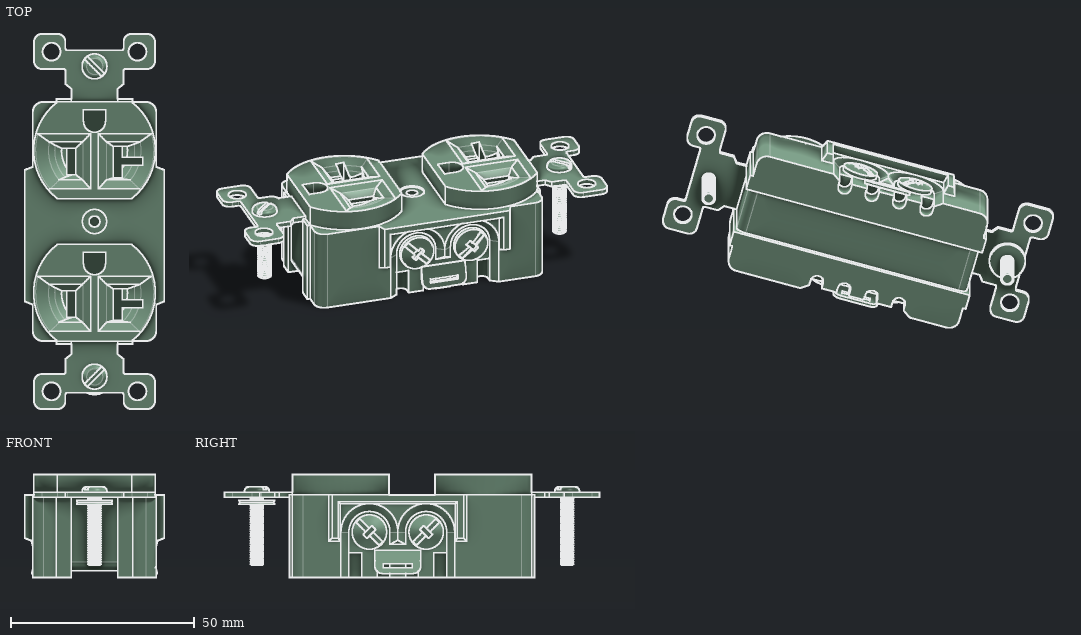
import cadquery as cq
import math

FACE_TOP = 28.07
BODY_TOP = 22.54
BODY_HALF_X = 16.85
BODY_HALF_Y = 32.6
BODY_CORNER_R = 2.85
END_PAD_HALF_X = 10.35
END_PAD_HALF_Y = 33.4
BACK_CHANNEL_DEPTH = 1.8
STRAP_BEND_R = 2.5

STRAP_TOP = 23.28
STRAP_BOTTOM = 21.86
STRAP_HALF_Y = 102.23 / 2
NECK_HALF_X = 6.28
NECK_END_Y = 36.1
SHOULDER_HALF_X = 7.9
SHOULDER_START_Y = 37.4
EAR_HALF_X = 16.5
EAR_INNER_Y = 41.5
EAR_NOTCH_Y = 46.67
EAR_CORNER_R = 2.2
EAR_ROOT_R = 0.5
EAR_HOLE_X = 11.7
EAR_HOLE_Y = 46.25
EAR_HOLE_D = 4.8

SCREW_Y = 42.25
SCREW_END = 3.35
THREAD_R = 1.8
THREAD_ROOT_R = 1.4
THREAD_PITCH = 0.635
SCREW_HEAD_R = 3.4
SCREW_HEAD_FLAT_R = 2.2
SCREW_HEAD_H = 1.5
DIAGONAL = 45
SCREW_SLOT_W = 1.1
SCREW_SLOT_DEPTH = 0.9
WASHER_R = 4.9
WASHER_GROOVE = 0.3
WASHER_TOP = 21.06
WASHER_BOTTOM = 19.95

FACE_Y = 19.4
FACE_R = 16.6
FACE_HALF_Y = 13.15
GROUND_HALF_X = 3.0
GROUND_TOP_Y = 11.05
GROUND_ARC_Y = 7.9
GROUND_DEPTH = 10.0
FUNNEL_LIP_DEPTH = 0.9
FUNNEL_DEPTH = 2.4
FUNNEL_RADII = (16.1, 12.6, 10.9, 9.0)
FUNNEL_RIM = (1.08, -10.5, 4.5)
FUNNEL_LIP = (3.25, -8.06, 2.3)
PLAIN_BLADE = (5.1, -6.65, 0.55)
T_BLADE = (5.1, -7.55, 1.05)
BLADE_OUTER_X = 7.5
BLADE_DEPTH = 9.0
CROSS_OUTER_X = 13.1
CROSS_Y = (-4.1, -1.9)
RIVET_R = 3.3
RIVET_RECESS = 0.4
RIVET_HOLE_R = 1.5
RIVET_HOLE_DEPTH = 4.0

SIDE_Y = -3.87
WING_X = 38.1 / 2
WING_BASE = (18.8, 9.85)
WING_TIP = (17.9, 10.75)
WINDOW_BASE = (15.64, 20.1)
WINDOW_TIP = (16.25, 20.7)
TERMINAL_PITCH = 15.46
BAY_DEPTH = 1.5
BAY_MOUTH_R = 7.75
BAY_FLOOR_R = 5.6
BAY_ARC_Z = 12.4
BAY_FLOOR_X = BODY_HALF_X - BAY_DEPTH
RIDGE_BOTTOM = 9.0
RIDGE_UNDERCUT = 1.2
TERMINAL_HEAD_R = 4.7
TERMINAL_RIM = 1.2
TERMINAL_DOME = 0.9
TERMINAL_SLOT_W = 1.4
TERMINAL_CROSS_L = 3.4
TERMINAL_CROSS_W = 1.5
TERMINAL_SLOT_DEPTH = 0.8
TERMINAL_CROSS_DEPTH = 1.2
WIRE_SLOT_W = 3.5
WIRE_SLOT_OFFSET = 3.85
WIRE_SLOT_TOP = 6.8
WIRE_SLOT_DEPTH = 3.2
TAB_HALF_Y = 6.25
TAB_TOP = 7.4
TAB_BOTTOM = 1.1
TAB_CORNER_R = 2.0
TAB_THICK = 0.9
TAB_BOTTOM_X = 17.1
TAB_TOP_X = BAY_FLOOR_X + 0.2
TAB_SLOT_HALF_Y = 3.95
TAB_SLOT_Z = (2.7, 3.7)


def block(x0, x1, y0, y1, z0, z1):
    """Box between two opposite corners."""
    return cq.Workplane("XY").box(x1 - x0, y1 - y0, z1 - z0, centered=False).translate((x0, y0, z0))


def loft(lower, upper):
    """Ruled solid between two wires."""
    return cq.Workplane(obj=cq.Solid.makeLoft([lower, upper], True))


def polygon(points):
    return cq.Wire.makePolygon([cq.Vector(*p) for p in points], close=True)


def both_ends(shape):
    """The shape and its mirror image at the other end of the device."""
    return shape.union(shape.mirror("XZ"))


def make_body():
    body = block(-BODY_HALF_X, BODY_HALF_X, -BODY_HALF_Y, BODY_HALF_Y, 0, BODY_TOP)
    body = body.edges("|Z").fillet(BODY_CORNER_R)
    body = body.union(block(-END_PAD_HALF_X, END_PAD_HALF_X, -END_PAD_HALF_Y, END_PAD_HALF_Y, 0, BODY_TOP))
    body = body.cut(block(-NECK_HALF_X, NECK_HALF_X, -END_PAD_HALF_Y, END_PAD_HALF_Y, 0, BODY_TOP))
    strap = block(-NECK_HALF_X, NECK_HALF_X, -BODY_HALF_Y, BODY_HALF_Y, BACK_CHANNEL_DEPTH, BODY_TOP)
    strap = strap.edges("|X and <Z").fillet(STRAP_BEND_R)
    return body.union(strap)


def make_strap_end():
    """Neck, shoulders and two ears at the +Y end."""
    height = STRAP_TOP - STRAP_BOTTOM
    half = [
        (NECK_HALF_X, FACE_Y),
        (NECK_HALF_X, NECK_END_Y),
        (SHOULDER_HALF_X, SHOULDER_START_Y),
        (SHOULDER_HALF_X, EAR_INNER_Y),
        (EAR_HALF_X, EAR_INNER_Y),
        (EAR_HALF_X, STRAP_HALF_Y),
        (SHOULDER_HALF_X, STRAP_HALF_Y),
        (SHOULDER_HALF_X, EAR_NOTCH_Y),
    ]
    outline = half + [(-x, y) for x, y in reversed(half)]
    strap = cq.Workplane("XY").workplane(offset=STRAP_BOTTOM).polyline(outline).close().extrude(height)
    middle_z = STRAP_BOTTOM + height / 2
    for side in (-1, 1):
        outer_corners = [
            (EAR_HALF_X, EAR_INNER_Y),
            (EAR_HALF_X, STRAP_HALF_Y),
            (SHOULDER_HALF_X, STRAP_HALF_Y),
        ]
        root_corners = [(SHOULDER_HALF_X, EAR_INNER_Y), (SHOULDER_HALF_X, EAR_NOTCH_Y)]
        for corners, radius in ((outer_corners, EAR_CORNER_R), (root_corners, EAR_ROOT_R)):
            for x, y in corners:
                corner = cq.selectors.NearestToPointSelector((side * x, y, middle_z))
                strap = strap.edges("|Z").edges(corner).fillet(radius)
    holes = cq.Workplane("XY").pushPoints([(-EAR_HOLE_X, EAR_HOLE_Y), (EAR_HOLE_X, EAR_HOLE_Y)])
    return strap.cut(holes.circle(EAR_HOLE_D / 2).extrude(STRAP_TOP))


def make_screw(y, slot_angle):
    """Slotted mounting screw with ring threads and a rounded head."""
    head_top = STRAP_TOP + SCREW_HEAD_H
    profile = cq.Workplane("XZ").moveTo(0, SCREW_END).lineTo(THREAD_ROOT_R, SCREW_END)
    turns = int((STRAP_BOTTOM - SCREW_END) / THREAD_PITCH)
    for turn in range(turns):
        z = SCREW_END + turn * THREAD_PITCH
        profile = profile.lineTo(THREAD_R, z + THREAD_PITCH / 2).lineTo(THREAD_ROOT_R, z + THREAD_PITCH)
    bulge_r = SCREW_HEAD_FLAT_R + (SCREW_HEAD_R - SCREW_HEAD_FLAT_R) * math.cos(math.pi / 4)
    bulge_z = STRAP_TOP + SCREW_HEAD_H * math.sin(math.pi / 4)
    screw = (
        profile.lineTo(THREAD_ROOT_R, STRAP_TOP)
        .lineTo(SCREW_HEAD_R, STRAP_TOP)
        .threePointArc((bulge_r, bulge_z), (SCREW_HEAD_FLAT_R, head_top))
        .lineTo(0, head_top)
        .close()
        .revolve(360, (0, 0, 0), (0, 1, 0))
    )
    half_w = SCREW_SLOT_W / 2
    slot = block(-SCREW_HEAD_R, SCREW_HEAD_R, -half_w, half_w, head_top - SCREW_SLOT_DEPTH, head_top)
    return screw.cut(slot.rotate((0, 0, 0), (0, 0, 1), slot_angle)).translate((0, y, 0))


def make_washer():
    """Retaining washer with a shallow V groove around its rim."""
    middle = (WASHER_TOP + WASHER_BOTTOM) / 2
    outline = [
        (0, WASHER_BOTTOM),
        (WASHER_R, WASHER_BOTTOM),
        (WASHER_R - WASHER_GROOVE, middle),
        (WASHER_R, WASHER_TOP),
        (0, WASHER_TOP),
    ]
    washer = cq.Workplane("XZ").polyline(outline).close().revolve(360, (0, 0, 0), (0, 1, 0))
    return washer.translate((0, -SCREW_Y, 0))


def make_face():
    face = cq.Workplane("XY").workplane(offset=BODY_TOP).circle(FACE_R).extrude(FACE_TOP - BODY_TOP)
    return face.intersect(block(-FACE_R, FACE_R, -FACE_HALF_Y, FACE_HALF_Y, BODY_TOP, FACE_TOP))


def make_ground_hole():
    outline = (
        cq.Workplane("XY")
        .workplane(offset=FACE_TOP - GROUND_DEPTH)
        .moveTo(-GROUND_HALF_X, GROUND_TOP_Y)
        .lineTo(-GROUND_HALF_X, GROUND_ARC_Y)
        .threePointArc((0, GROUND_ARC_Y - GROUND_HALF_X), (GROUND_HALF_X, GROUND_ARC_Y))
        .lineTo(GROUND_HALF_X, GROUND_TOP_Y)
        .close()
    )
    return outline.extrude(GROUND_DEPTH)


def make_funnel(blade):
    """Two-stage tapered lead-in to a blade slot on the +X side, closed outward by a round conical wall."""
    levels = (FACE_TOP, FACE_TOP - FUNNEL_LIP_DEPTH, FACE_TOP - FUNNEL_DEPTH)

    def rectangle(section, z):
        x, y0, y1 = section
        return polygon([(x, y0, z), (FACE_R, y0, z), (FACE_R, y1, z), (x, y1, z)])

    rim, lip, floor = [rectangle(s, z) for s, z in zip((FUNNEL_RIM, FUNNEL_LIP, blade), levels)]
    pyramid = loft(lip, rim).union(loft(floor, lip))
    step_z = (levels[1] + levels[2]) / 2
    cone_levels = (levels[0], levels[1], step_z, levels[2])
    profile = [(0, FACE_TOP)] + list(zip(FUNNEL_RADII, cone_levels)) + [(0, levels[2])]
    cone = cq.Workplane("XZ").polyline(profile).close().revolve(360, (0, 0, 0), (0, 1, 0))
    return pyramid.intersect(cone)


def make_blade_socket(blade):
    """Lead-in funnel with its straight blade slot."""
    inner_x, y0, y1 = blade
    slot = block(inner_x, BLADE_OUTER_X, y0, y1, FACE_TOP - BLADE_DEPTH, FACE_TOP - FUNNEL_LIP_DEPTH)
    return make_funnel(blade).union(slot)


def make_face_cuts():
    """Plain socket on the -X side, T-shaped socket on the +X side and the ground hole."""
    cross = block(T_BLADE[0], CROSS_OUTER_X, *CROSS_Y, FACE_TOP - BLADE_DEPTH, FACE_TOP)
    t_socket = make_blade_socket(T_BLADE).union(cross)
    plain_socket = make_blade_socket(PLAIN_BLADE).mirror("YZ")
    return t_socket.union(plain_socket).union(make_ground_hole())


def make_rivet_recess():
    """Shallow round recess with a blind hole at the centre of the device."""
    top = cq.Workplane("XY").workplane(offset=BODY_TOP)
    recess = top.circle(RIVET_R).extrude(-RIVET_RECESS)
    return recess.union(top.circle(RIVET_HOLE_R).extrude(-RIVET_HOLE_DEPTH))


def make_wing():
    """Flared guard around the terminals, open at the bottom."""

    def section(x, half_length, z0, z1):
        return polygon([
            (-x, SIDE_Y - half_length, z0),
            (-x, SIDE_Y + half_length, z0),
            (-x, SIDE_Y + half_length, z1),
            (-x, SIDE_Y - half_length, z1),
        ])

    wing = loft(section(BODY_HALF_X, *WING_BASE, BODY_TOP), section(WING_X, *WING_TIP, BODY_TOP))
    base_half, base_top = WINDOW_BASE
    tip_half, tip_top = WINDOW_TIP
    window = loft(section(BODY_HALF_X, base_half, 0, base_top), section(WING_X, tip_half, 0, tip_top))
    return wing.cut(window)


def make_arch(x, y, radius):
    """Upright arch outline in a plane of constant X, standing on the bottom of the body."""
    left, right = y - radius, y + radius
    return cq.Wire.assembleEdges([
        cq.Edge.makeLine(cq.Vector(x, left, 0), cq.Vector(x, left, BAY_ARC_Z)),
        cq.Edge.makeThreePointArc(
            cq.Vector(x, left, BAY_ARC_Z), cq.Vector(x, y, BAY_ARC_Z + radius), cq.Vector(x, right, BAY_ARC_Z)
        ),
        cq.Edge.makeLine(cq.Vector(x, right, BAY_ARC_Z), cq.Vector(x, right, 0)),
        cq.Edge.makeLine(cq.Vector(x, right, 0), cq.Vector(x, left, 0)),
    ])


def make_bay():
    """Two tapered arches with the ridge between them undercut, plus the wire slots."""
    half_pitch = TERMINAL_PITCH / 2
    bay = (
        cq.Workplane("XZ")
        .polyline([
            (-BODY_HALF_X, 0),
            (-BODY_HALF_X, RIDGE_BOTTOM + RIDGE_UNDERCUT),
            (-BAY_FLOOR_X, RIDGE_BOTTOM),
            (-BAY_FLOOR_X, 0),
        ])
        .close()
        .extrude(half_pitch, both=True)
        .translate((0, SIDE_Y, 0))
    )
    for side in (-1, 1):
        y = SIDE_Y + side * half_pitch
        mouth = make_arch(-BODY_HALF_X, y, BAY_MOUTH_R)
        floor = make_arch(-BAY_FLOOR_X, y, BAY_FLOOR_R)
        bay = bay.union(loft(floor, mouth))
        for offset in (-WIRE_SLOT_OFFSET, WIRE_SLOT_OFFSET):
            bay = bay.union(make_wire_slot(y + offset))
    return bay


def make_wire_slot(y):
    """Vertical slot with a round inner end."""
    radius = WIRE_SLOT_W / 2
    centre_x = -BAY_FLOOR_X + WIRE_SLOT_DEPTH - radius
    slot = block(-BAY_FLOOR_X, centre_x, y - radius, y + radius, 0, WIRE_SLOT_TOP)
    return slot.union(cq.Workplane("XY").center(centre_x, y).circle(radius).extrude(WIRE_SLOT_TOP))


def make_terminal_screw(side):
    """Domed terminal head with a diagonal slot and a short, deeper cross slot."""
    rim_z = TERMINAL_RIM
    top_z = TERMINAL_RIM + TERMINAL_DOME
    dome_r = (TERMINAL_HEAD_R ** 2 + TERMINAL_DOME ** 2) / (2 * TERMINAL_DOME)
    half_r = TERMINAL_HEAD_R / 2
    half_z = top_z - dome_r + math.sqrt(dome_r ** 2 - half_r ** 2)
    head = (
        cq.Workplane("XZ")
        .lineTo(TERMINAL_HEAD_R, 0)
        .lineTo(TERMINAL_HEAD_R, rim_z)
        .threePointArc((half_r, half_z), (0, top_z))
        .close()
        .revolve(360, (0, 0, 0), (0, 1, 0))
    )
    half_w, half_l = TERMINAL_SLOT_W / 2, TERMINAL_HEAD_R
    slots = block(-half_l, half_l, -half_w, half_w, top_z - TERMINAL_SLOT_DEPTH, top_z)
    half_w, half_l = TERMINAL_CROSS_W / 2, TERMINAL_CROSS_L / 2
    slots = slots.union(block(-half_w, half_w, -half_l, half_l, top_z - TERMINAL_CROSS_DEPTH, top_z))
    slots = slots.rotate((0, 0, 0), (0, 0, 1), side * DIAGONAL)
    head = head.cut(slots).rotate((0, 0, 0), (0, 1, 0), -90)
    return head.translate((-BAY_FLOOR_X, SIDE_Y + side * TERMINAL_PITCH / 2, BAY_ARC_Z))


def make_tab():
    """Release tab that leans outward towards its rounded lower end."""
    tab = (
        cq.Workplane("XZ")
        .polyline([
            (-TAB_TOP_X, TAB_TOP),
            (-TAB_BOTTOM_X, TAB_BOTTOM),
            (-TAB_BOTTOM_X + TAB_THICK, TAB_BOTTOM),
            (-TAB_TOP_X + TAB_THICK, TAB_TOP),
        ])
        .close()
        .extrude(TAB_HALF_Y, both=True)
    )
    outline = (
        block(-TAB_BOTTOM_X, 0, -TAB_HALF_Y, TAB_HALF_Y, TAB_BOTTOM, TAB_TOP)
        .edges("|X and <Z")
        .fillet(TAB_CORNER_R)
    )
    slot = block(-TAB_BOTTOM_X, -BAY_FLOOR_X, -TAB_SLOT_HALF_Y, TAB_SLOT_HALF_Y, *TAB_SLOT_Z)
    return tab.intersect(outline).cut(slot).translate((0, SIDE_Y, 0))


part = make_body().union(both_ends(make_strap_end()))
for end in (-1, 1):
    part = part.union(make_face().translate((0, end * FACE_Y, 0)))
    part = part.cut(make_face_cuts().translate((0, end * FACE_Y, 0)))
    part = part.union(make_screw(end * SCREW_Y, -end * DIAGONAL))
part = part.union(make_washer()).cut(make_rivet_recess())

bay_cut = make_bay()
side_parts = make_wing().union(make_tab())
for screw_side in (-1, 1):
    side_parts = side_parts.union(make_terminal_screw(screw_side))
part = part.cut(bay_cut).cut(bay_cut.mirror("YZ"))
result = part.union(side_parts).union(side_parts.mirror("YZ"))